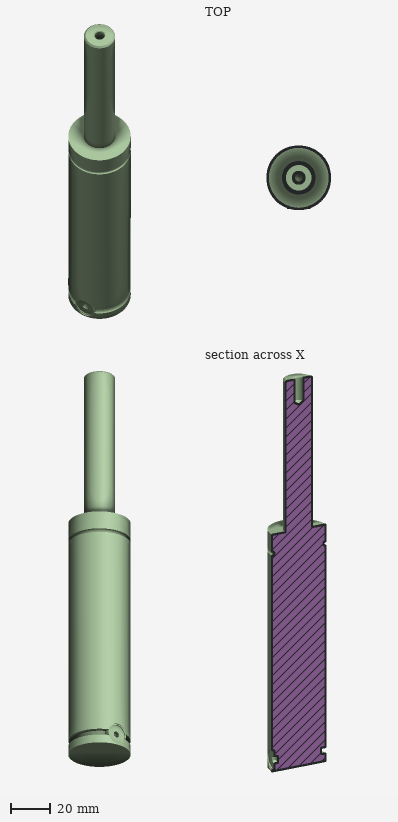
import cadquery as cq
import math

total_height = 210.0
body_diameter = 32.0
body_height = 128.3
body_radius = body_diameter / 2

base_groove_bottom = 4.5
base_groove_top = 7.5
base_groove_radius = 13.5

head_groove_bottom = 117.0
head_groove_width = 1.9
head_groove_depth = 1.3

rod_diameter = 16.0
rod_chamfer = 0.8
rod_hole_diameter = 5.0
rod_hole_depth = 12.5
rod_hole_chamfer = 0.5
drill_point_angle = 118.0

port_diameter = 11.0
plug_diameter = 10.0
port_center_height = 6.0
sleeve_face_distance = 15.3
sleeve_root_distance = 10.5
plug_recess = 0.6
socket_across_flats = 3.2
socket_depth = 2.0


def make_body():
    """Revolve the body profile, including both ring grooves."""
    head_groove_top = head_groove_bottom + head_groove_width
    head_groove_middle = head_groove_bottom + head_groove_width / 2
    return (
        cq.Workplane("XZ")
        .moveTo(0, 0)
        .lineTo(body_radius, 0)
        .lineTo(body_radius, base_groove_bottom)
        .lineTo(base_groove_radius, base_groove_bottom)
        .lineTo(base_groove_radius, base_groove_top)
        .lineTo(body_radius, base_groove_top)
        .lineTo(body_radius, head_groove_bottom)
        .threePointArc(
            (body_radius - head_groove_depth, head_groove_middle),
            (body_radius, head_groove_top),
        )
        .lineTo(body_radius, body_height)
        .lineTo(0, body_height)
        .close()
        .revolve(360, (0, 0), (0, 1))
    )


def make_rod():
    """Chamfered rod that rises from the top of the body."""
    return (
        cq.Workplane("XY")
        .workplane(offset=body_height)
        .circle(rod_diameter / 2)
        .extrude(total_height - body_height)
        .faces(">Z")
        .chamfer(rod_chamfer)
    )


def make_rod_hole():
    """Blind drilled hole with a countersunk mouth and a conical end."""
    radius = rod_hole_diameter / 2
    shoulder = total_height - rod_hole_depth
    tip = shoulder - radius / math.tan(math.radians(drill_point_angle / 2))
    return (
        cq.Workplane("XZ")
        .moveTo(0, tip)
        .lineTo(radius, shoulder)
        .lineTo(radius, total_height - rod_hole_chamfer)
        .lineTo(radius + rod_hole_chamfer, total_height)
        .lineTo(0, total_height)
        .close()
        .revolve(360, (0, 0), (0, 1))
    )


def port_cylinder(diameter, start, end):
    """Cylinder on the port axis between two distances from the body axis."""
    return (
        cq.Workplane("XZ", origin=(0, -start, port_center_height))
        .circle(diameter / 2)
        .extrude(end - start)
    )


def make_socket(face_distance):
    """Hexagonal socket with two corners pointing along Z."""
    across_corners = socket_across_flats / math.cos(math.radians(30))
    return (
        cq.Workplane("XZ", origin=(0, socket_depth - face_distance, port_center_height))
        .transformed(rotate=(0, 0, 90))
        .polygon(6, across_corners)
        .extrude(socket_depth)
    )


def add_port(part):
    """Fit the flat-faced sleeve and recess the plug inside it."""
    plug_face_distance = sleeve_face_distance - plug_recess
    bore = port_cylinder(port_diameter, sleeve_root_distance, body_radius)
    sleeve = port_cylinder(port_diameter, sleeve_root_distance, sleeve_face_distance)
    recess = port_cylinder(plug_diameter, plug_face_distance, sleeve_face_distance)
    socket = make_socket(plug_face_distance)
    return part.cut(bore).union(sleeve).cut(recess).cut(socket)


body_with_rod = make_body().union(make_rod()).cut(make_rod_hole())
result = add_port(body_with_rod)